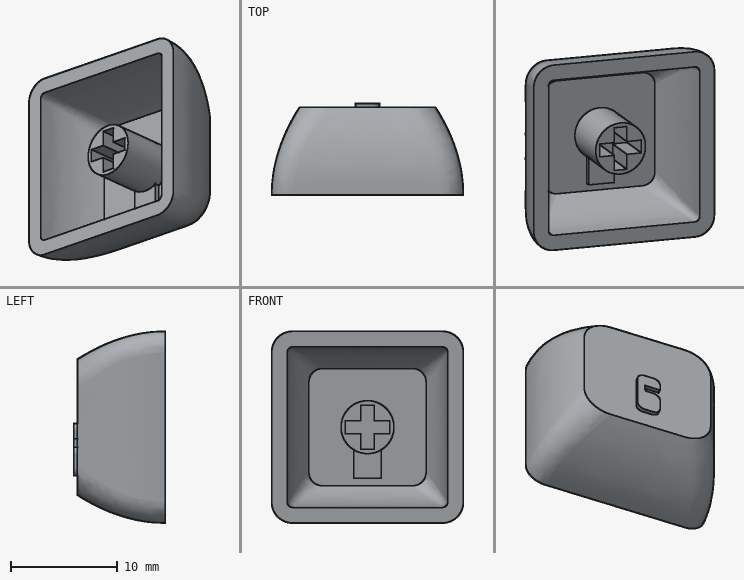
import cadquery as cq


RIM_SIZE = 18.1
RIM_RADIUS = 2.0
TOP_SIZE = 12.81
TOP_RADIUS = 2.68
SHELL_DEPTH = 8.29

OPENING_SIZE = 15.15
OPENING_RADIUS = 0.55
FLOOR_SIZE = 11.05
FLOOR_RADIUS = 1.25
FLOOR_DEPTH = 6.8

STEM_DIAMETER = 5.0
STEM_RECESS = 1.0
CROSS_LENGTH = 4.16
CROSS_WIDTH = 1.25
CROSS_DEPTH = 3.98

TOTAL_DEPTH = 8.65
MARK_WIDTH = 2.28
MARK_HEIGHT = 4.95
MARK_RADIUS = 0.72
MARK_CENTER_Z = -2.12
BACKING_WIDTH = 2.57
BACKING_HEIGHT = 5.35
BACKING_THICKNESS = 0.5
NOTCH_TOP = 1.43
NOTCH_HEIGHT = 0.8
NOTCH_DEPTH = 1.52
NOTCH_RADIUS = 0.2

MIDWAY_TAPER = 0.25


def plane_at(y):
    """Work plane at depth y, with local x along -X, local y along Z and normal to +Y."""
    return cq.Workplane(cq.Plane(origin=(0, y, 0), xDir=(-1, 0, 0), normal=(0, 1, 0)))


def rounded_square(size, radius, depth):
    """Square with rounded corners, moved the given depth behind the rim plane."""
    sketch = cq.Sketch().rect(size, size).vertices().fillet(radius)
    return sketch.moved(cq.Location(cq.Vector(0, 0, depth)))


def curved_frustum(front_size, front_radius, back_size, back_radius, depth):
    """Rounded square block whose sides bow inwards from the rim plane to the given depth."""
    middle_size = front_size + MIDWAY_TAPER * (back_size - front_size)
    middle_radius = front_radius + MIDWAY_TAPER * (back_radius - front_radius)
    sections = [
        rounded_square(front_size, front_radius, 0),
        rounded_square(middle_size, middle_radius, depth / 2),
        rounded_square(back_size, back_radius, depth),
    ]
    return plane_at(0).placeSketch(*sections).loft()


def make_stem():
    """Round post from the cavity floor, with a cross socket in its free end."""
    post = plane_at(STEM_RECESS).circle(STEM_DIAMETER / 2).extrude(FLOOR_DEPTH - STEM_RECESS)
    for width, height in ((CROSS_LENGTH, CROSS_WIDTH), (CROSS_WIDTH, CROSS_LENGTH)):
        post = post.cut(plane_at(STEM_RECESS).rect(width, height).extrude(CROSS_DEPTH))
    return post


def make_inlay():
    """Backing plate on the cavity floor carrying a notched mark that stands out of the top face."""
    backing = (
        plane_at(FLOOR_DEPTH - BACKING_THICKNESS)
        .center(0, MARK_CENTER_Z)
        .rect(BACKING_WIDTH, BACKING_HEIGHT)
        .extrude(BACKING_THICKNESS)
    )
    mark_length = TOTAL_DEPTH - FLOOR_DEPTH
    mark = (
        plane_at(FLOOR_DEPTH)
        .center(0, MARK_CENTER_Z)
        .rect(MARK_WIDTH, MARK_HEIGHT)
        .extrude(mark_length)
        .edges("|Y")
        .fillet(MARK_RADIUS)
    )

    notch_top_z = MARK_CENTER_Z + MARK_HEIGHT / 2 - NOTCH_TOP
    lip_z = notch_top_z - NOTCH_HEIGHT
    open_x = MARK_WIDTH / 2
    inner_x = open_x - NOTCH_DEPTH
    notch = (
        plane_at(FLOOR_DEPTH)
        .moveTo(open_x, notch_top_z)
        .lineTo(inner_x, notch_top_z)
        .lineTo(inner_x, lip_z + NOTCH_RADIUS)
        .radiusArc((inner_x + NOTCH_RADIUS, lip_z), -NOTCH_RADIUS)
        .lineTo(open_x - MARK_RADIUS, lip_z)
        .radiusArc((open_x, lip_z - MARK_RADIUS), MARK_RADIUS)
        .close()
        .extrude(mark_length)
    )
    return backing.union(mark.cut(notch))


def make_keycap(inlay):
    """Hollow shell with its stem, recessed to receive the inlay."""
    shell = curved_frustum(RIM_SIZE, RIM_RADIUS, TOP_SIZE, TOP_RADIUS, SHELL_DEPTH)
    cavity = curved_frustum(OPENING_SIZE, OPENING_RADIUS, FLOOR_SIZE, FLOOR_RADIUS, FLOOR_DEPTH)
    return shell.cut(cavity).union(make_stem()).cut(inlay)


legend_inlay = make_inlay()
keycap = make_keycap(legend_inlay)

result = cq.Compound.makeCompound([keycap.solids().val(), legend_inlay.solids().val()])